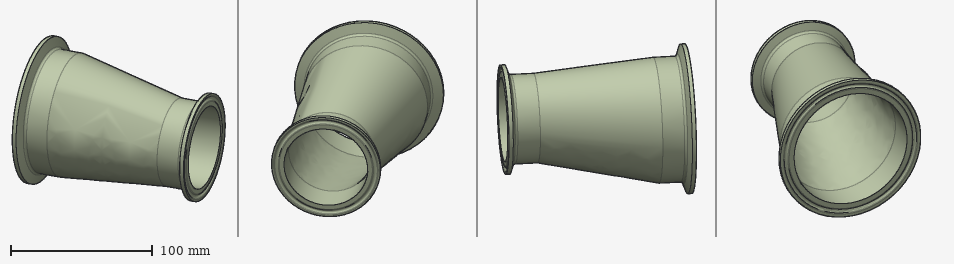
import cadquery as cq
import math

LENGTH = 130.0
WALL = 2.0
LARGE_TUBE_DIAMETER = 89.0
SMALL_TUBE_DIAMETER = 63.5
LARGE_FLANGE_DIAMETER = 106.0
SMALL_FLANGE_DIAMETER = 77.5
FERRULE_LENGTH = 23.0
RIM_THICKNESS = 3.0
FLANGE_BACK_ANGLE = 20.0
NECK_FILLET = 2.1

LARGE_GROOVE_DIAMETER = 97.0
SMALL_GROOVE_DIAMETER = 70.5
GROOVE_WIDTH = 3.1
GROOVE_DEPTH = 1.3
GROOVE_LIP_FILLET = 0.8

TOLERANCE = 0.01

SMALL_AXIS_Y = -(LARGE_TUBE_DIAMETER - SMALL_TUBE_DIAMETER) / 2


def ferrule(tube_diameter, flange_diameter, groove_diameter):
    """Ferrule on the X axis, sealing face at X = 0 and tube toward +X."""
    tube_radius = tube_diameter / 2
    flange_radius = flange_diameter / 2
    bore_radius = tube_radius - WALL
    slope = math.tan(math.radians(FLANGE_BACK_ANGLE))
    neck_x = RIM_THICKNESS + (flange_radius - tube_radius) * slope
    groove_inner = (groove_diameter - GROOVE_WIDTH) / 2
    groove_outer = (groove_diameter + GROOVE_WIDTH) / 2

    profile = (
        cq.Workplane("XY")
        .moveTo(0, bore_radius)
        .lineTo(0, groove_inner)
        .threePointArc((GROOVE_DEPTH, groove_diameter / 2), (0, groove_outer))
        .lineTo(0, flange_radius)
        .lineTo(RIM_THICKNESS, flange_radius)
        .lineTo(neck_x, tube_radius)
        .lineTo(FERRULE_LENGTH, tube_radius)
        .lineTo(FERRULE_LENGTH, bore_radius)
        .close()
    )
    body = profile.revolve(360, (0, 0, 0), (1, 0, 0))

    def circles_at(x, smallest, largest):
        edges = body.edges("%CIRCLE").vals()
        return [e for e in edges if abs(e.Center().x - x) < TOLERANCE and smallest < e.radius() < largest]

    neck = circles_at(neck_x, bore_radius, flange_radius)
    body = body.newObject(neck).fillet(NECK_FILLET)
    groove_lips = circles_at(0, bore_radius + TOLERANCE, flange_radius - TOLERANCE)
    return body.newObject(groove_lips).fillet(GROOVE_LIP_FILLET)


def reducing_cone(inset):
    """Solid loft between the two tube circles, shrunk radially by inset."""
    return (
        cq.Workplane("YZ", origin=(FERRULE_LENGTH, 0, 0))
        .circle(LARGE_TUBE_DIAMETER / 2 - inset)
        .workplane(offset=LENGTH - 2 * FERRULE_LENGTH)
        .center(SMALL_AXIS_Y, 0)
        .circle(SMALL_TUBE_DIAMETER / 2 - inset)
        .loft(ruled=True)
    )


large_ferrule = ferrule(LARGE_TUBE_DIAMETER, LARGE_FLANGE_DIAMETER, LARGE_GROOVE_DIAMETER)
small_ferrule = (
    ferrule(SMALL_TUBE_DIAMETER, SMALL_FLANGE_DIAMETER, SMALL_GROOVE_DIAMETER)
    .mirror("YZ")
    .translate((LENGTH, SMALL_AXIS_Y, 0))
)
cone = reducing_cone(0).cut(reducing_cone(WALL))
result = large_ferrule.union(cone).union(small_ferrule)